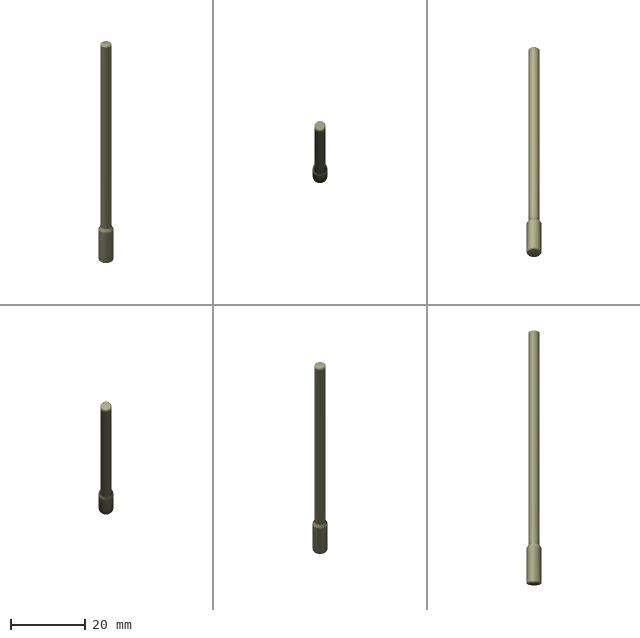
import cadquery as cq
import math

total_length = 70.0
shank_diameter = 3.0
head_diameter = 3.98

head_length = 10.0
neck_half_angle = 30.0

shank_chamfer = 0.3
tip_chamfer = 0.25

shank_radius = shank_diameter / 2
head_radius = head_diameter / 2
neck_length = (head_radius - shank_radius) / math.tan(math.radians(neck_half_angle))
neck_top = head_length + neck_length


def make_head():
    """Cylindrical working head standing on Z = 0, chamfered around its tip."""
    head = cq.Workplane("XY").circle(head_radius).extrude(head_length)
    return head.faces("<Z").chamfer(tip_chamfer)


def make_shank():
    """Shank that starts on the head, tapers in through the neck and ends in a chamfered top."""
    half_profile = [
        (0, head_length),
        (head_radius, head_length),
        (shank_radius, neck_top),
        (shank_radius, total_length),
        (0, total_length),
    ]
    shank = cq.Workplane("XZ").polyline(half_profile).close().revolve(360, (0, 0), (0, 1))
    return shank.faces(">Z").chamfer(shank_chamfer)


head = make_head()
shank = make_shank()

result = cq.Compound.makeCompound([head.val(), shank.val()])